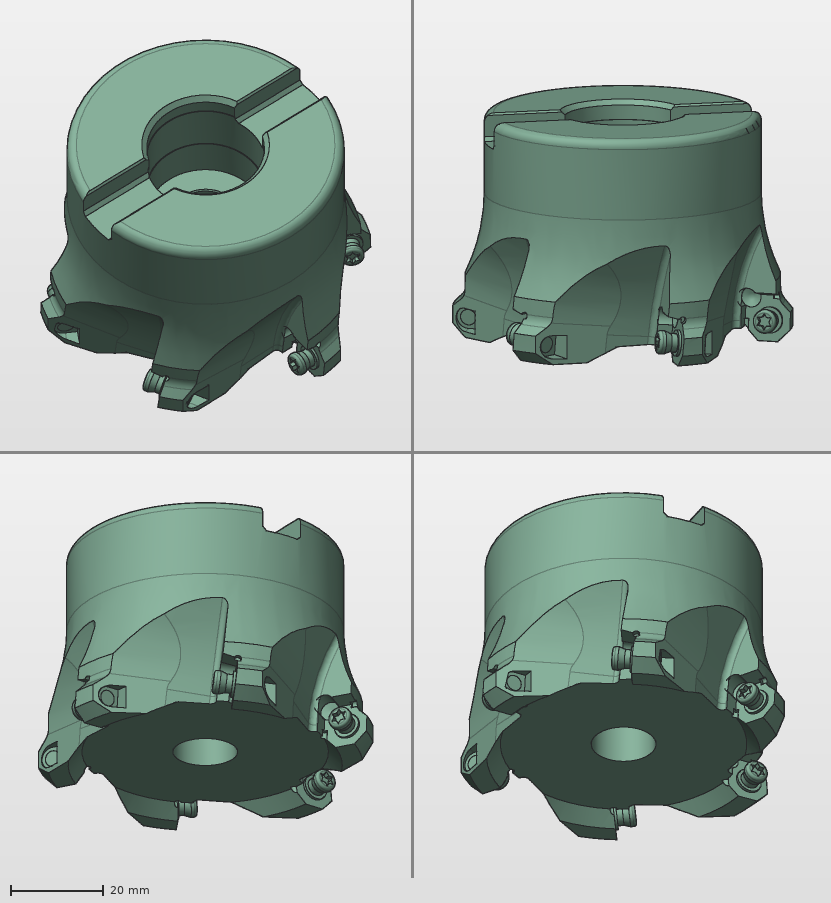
import cadquery as cq
import math

height = 49.6
hub_radius = 30.1
hub_bottom_z = 31.95
top_edge_radius = 2.05
skirt_radius = 34.3
skirt_draft = 0.1
skirt_top_z = 13.9
flare_rise = hub_bottom_z - skirt_top_z
flare_spread = skirt_radius - skirt_draft - hub_radius
flare_radius = (flare_rise**2 + flare_spread**2) / (2 * flare_spread)
bottom_face_z = 3.15

tooth_radius = 36.9
octagon_across_flats = 9.2
octagon_edge = octagon_across_flats * math.tan(math.radians(22.5))
octagon_corner = (octagon_across_flats - octagon_edge) / 2
ring_cone_bottom_radius = 29.75
ring_cone_top_radius = 26.75
skirt_blend = 1.25

bore_radius = 12.75
bore_floor_z = 24.9
bore_chamfer = 1.1
relief_depth = 0.15
relief_top_z = 45.3
relief_bottom_z = 33.9
bolt_hole_radius = 7.0
bolt_hole_chamfer = 0.3
slot_width = 9.9
slot_depth = 6.0
slot_floor_chamfer = 0.9
slot_top_chamfer = 0.45

tooth_angles = [0.3, 60.5, 121.4, 182.2, 240.9, 300.2]
axial_rake = 6.0

floor_x = 24.9
floor_tilt = 4.6
floor_arc_z = 4.8
floor_arc_radius = 43.95
flank_x = 25.8
flank_arc_z = 6.8
flank_arc_radius = 32.25
gullet_fillet = 1.3
gullet_length = 33.7
gullet_height = 27.85
floor_overlap = 7.3
flank_start = 2.9
clearance = 51.3

seat_depth = 3.4
pocket_wall_x = 26.6
ceiling_z_seat = 10.5
ceiling_z_front = 11.15
pocket_front = 8.8
ceiling_relief_x = 32.8
wall_relief_top_z = 5.05
relief_radius = 0.7
corner_drill_x = 27.8
corner_drill_z = 9.8
corner_drill_radius = 2.2
corner_drill_tip = 0.9

screw_x = 32.2
screw_z = 5.05
shank_radius = 1.75
shank_length = 5.65
neck_radius = 2.05
neck_length = 1.9
head_radius = 2.6
head_cone_end = 3.3
screw_projection = 4.7
head_edge_radius = 0.65
socket_tip_radius = 1.75
socket_root_radius = 1.1
socket_depth = 1.2
collar_radius = 2.85
collar_height = 0.6
spotface_radius = 2.6
spotface_wall = 2.65
spotface_length = 14.65
screw_end_y = seat_depth + shank_length


def place(shape, angle):
    raked = shape.rotate((0, 0, 0), (1, 0, 0), -axial_rake)
    return raked.rotate((0, 0, 0), (0, 0, 1), angle)


def rod_along_y(radius, x, z, y_start, y_end):
    plane = cq.Plane(origin=(x, y_start, z), xDir=(1, 0, 0), normal=(0, 1, 0))
    return cq.Workplane(plane).circle(radius).extrude(y_end - y_start)


def housing_blank():
    ring_top_z = octagon_corner + octagon_edge
    corner_z = ring_top_z + tooth_radius - skirt_radius
    slant = skirt_blend * math.sqrt(0.5)
    half_turn = math.radians(45) / 2
    blend_radius = skirt_blend / math.tan(half_turn)
    blend_mid = (
        skirt_radius + blend_radius * (1 - math.cos(half_turn)),
        corner_z + skirt_blend - blend_radius * math.sin(half_turn),
    )
    flare_half = math.asin(flare_rise / flare_radius) / 2
    flare_mid = (
        hub_radius + flare_radius * (1 - math.cos(flare_half)),
        hub_bottom_z - flare_radius * math.sin(flare_half),
    )
    profile = (
        cq.Workplane("XZ")
        .moveTo(0, bottom_face_z)
        .lineTo(ring_cone_top_radius, bottom_face_z)
        .lineTo(ring_cone_bottom_radius, 0)
        .lineTo(tooth_radius - octagon_corner, 0)
        .lineTo(tooth_radius, octagon_corner)
        .lineTo(tooth_radius, ring_top_z)
        .lineTo(skirt_radius + slant, corner_z - slant)
        .threePointArc(blend_mid, (skirt_radius, corner_z + skirt_blend))
        .lineTo(skirt_radius - skirt_draft, skirt_top_z)
        .threePointArc(flare_mid, (hub_radius, hub_bottom_z))
        .lineTo(hub_radius, height)
        .lineTo(0, height)
        .close()
    )
    return profile.revolve(360, (0, 0, 0), (0, 1, 0)).faces(">Z").edges().fillet(top_edge_radius)


def arbor_bore():
    bolt_chamfer_r = bolt_hole_radius + bolt_hole_chamfer
    profile = cq.Workplane("XZ").polyline(
        [
            (0, 0),
            (bolt_hole_radius, 0),
            (bolt_hole_radius, bore_floor_z - bolt_hole_chamfer),
            (bolt_chamfer_r, bore_floor_z),
            (bore_radius, bore_floor_z),
            (bore_radius, relief_bottom_z),
            (bore_radius + relief_depth, relief_bottom_z),
            (bore_radius + relief_depth, relief_top_z),
            (bore_radius, relief_top_z),
            (bore_radius, height - bore_chamfer),
            (bore_radius + bore_chamfer, height),
            (0, height),
        ]
    )
    return profile.close().revolve(360, (0, 0, 0), (0, 1, 0))


def drive_slot():
    half = slot_width / 2
    floor_z = height - slot_depth
    right_side = [
        (half - slot_floor_chamfer, floor_z),
        (half, floor_z + slot_floor_chamfer),
        (half, height - slot_top_chamfer),
        (half + slot_top_chamfer, height),
    ]
    left_side = [(-x, z) for x, z in reversed(right_side)]
    section = cq.Workplane("XZ").polyline(right_side + left_side).close()
    return section.extrude(clearance, both=True)


def curved_cut(start_x, arc_z, arc_radius, start_y=0.0):
    """Space outside a wall that is upright up to arc_z and then curls outward."""
    def arc_point(rise):
        return (start_x + arc_radius - math.sqrt(arc_radius**2 - rise**2), arc_z + rise)

    section = (
        cq.Workplane("XZ", origin=(0, start_y, 0))
        .moveTo(start_x, -gullet_height)
        .lineTo(start_x, arc_z)
        .threePointArc(arc_point(gullet_height / 2), arc_point(gullet_height))
        .lineTo(clearance, arc_z + gullet_height)
        .lineTo(clearance, -gullet_height)
        .close()
    )
    return section.extrude(gullet_length)


def gullet_cut():
    pivot = (floor_x, 0, 0)
    pivot_top = (floor_x, 0, 1)
    floor = curved_cut(floor_x, floor_arc_z, floor_arc_radius, start_y=floor_overlap)
    floor = floor.rotate(pivot, pivot_top, floor_tilt)
    behind_chip_face = cq.Workplane("XZ").rect(4 * clearance, 4 * clearance).extrude(-clearance)
    floor = floor.cut(behind_chip_face)
    floor = floor.faces(">Y").edges("<X or %ELLIPSE").fillet(gullet_fillet)
    flank = curved_cut(flank_x, flank_arc_z, flank_arc_radius, start_y=-flank_start)
    return floor.union(flank)


def pocket_cut():
    section = cq.Workplane("YZ", origin=(pocket_wall_x, 0, 0)).polyline(
        [
            (-pocket_front, -clearance),
            (seat_depth, -clearance),
            (seat_depth, ceiling_z_seat),
            (0, ceiling_z_front),
            (-pocket_front, ceiling_z_front),
        ]
    )
    pocket = section.close().extrude(clearance - pocket_wall_x)
    ceiling_relief = (
        cq.Workplane("YZ", origin=(ceiling_relief_x, 0, 0))
        .center(seat_depth, ceiling_z_seat)
        .circle(relief_radius)
        .extrude(clearance - ceiling_relief_x)
    )
    wall_relief = (
        cq.Workplane("XY", origin=(pocket_wall_x, seat_depth, wall_relief_top_z))
        .circle(relief_radius)
        .extrude(-clearance)
    )
    return pocket.union(ceiling_relief).union(wall_relief)


def corner_drill_cut():
    tip_y = seat_depth + corner_drill_tip
    profile = cq.Workplane("XY").polyline(
        [(0, 0), (corner_drill_radius, 0), (corner_drill_radius, seat_depth), (0, tip_y)]
    )
    drill = profile.close().revolve(360, (0, 0, 0), (0, 1, 0))
    return drill.translate((corner_drill_x, 0, corner_drill_z))


def spotface_cut():
    """Recess behind the tooth that the screw hole opens into: half round, with a flat wall."""
    plane = cq.Plane(origin=(screw_x, screw_end_y, screw_z), xDir=(1, 0, 0), normal=(0, 1, 0))
    section = (
        cq.Workplane(plane)
        .moveTo(-spotface_wall, -spotface_radius)
        .lineTo(0, -spotface_radius)
        .threePointArc((spotface_radius, 0), (0, spotface_radius))
        .lineTo(-spotface_wall, spotface_radius)
        .close()
    )
    return section.extrude(spotface_length)


def screw_hole_cut():
    shank = rod_along_y(shank_radius, screw_x, screw_z, seat_depth, screw_end_y)
    neck = rod_along_y(neck_radius, screw_x, screw_z, seat_depth - collar_height, seat_depth)
    return shank.union(neck)


def seat_collar():
    return rod_along_y(collar_radius, screw_x, screw_z, seat_depth - collar_height, seat_depth)


def make_housing():
    housing = housing_blank().cut(arbor_bore()).cut(drive_slot())
    cuts = [gullet_cut(), pocket_cut(), corner_drill_cut(), spotface_cut()]
    collar = seat_collar()
    screw_hole = screw_hole_cut()
    for angle in tooth_angles:
        for cut in cuts:
            housing = housing.cut(place(cut, angle))
        housing = housing.union(place(collar, angle)).cut(place(screw_hole, angle))
    return housing


def make_screw(angle):
    profile = (
        cq.Workplane("XY")
        .moveTo(0, -shank_length)
        .lineTo(shank_radius, -shank_length)
        .lineTo(shank_radius, 0)
        .lineTo(neck_radius, 0)
        .lineTo(neck_radius, neck_length)
        .lineTo(head_radius, head_cone_end)
        .lineTo(head_radius, screw_projection)
        .lineTo(0, screw_projection)
        .close()
    )
    screw = profile.revolve(360, (0, 0, 0), (0, 1, 0)).faces(">Y").edges().fillet(head_edge_radius)
    star = []
    for point in range(12):
        radius = socket_root_radius if point % 2 else socket_tip_radius
        turn = math.radians(30 * point)
        star.append((radius * math.sin(turn), radius * math.cos(turn)))
    socket = cq.Workplane("XZ", origin=(0, screw_projection - socket_depth, 0)).polyline(star).close()
    screw = screw.cut(socket.extrude(-clearance))
    screw = screw.rotate((0, 0, 0), (0, 0, 1), 180).translate((screw_x, seat_depth, screw_z))
    return place(screw, angle)


housing = make_housing()
screws = [make_screw(angle) for angle in tooth_angles]
result = cq.Compound.makeCompound([housing.val(), *[screw.val() for screw in screws]])